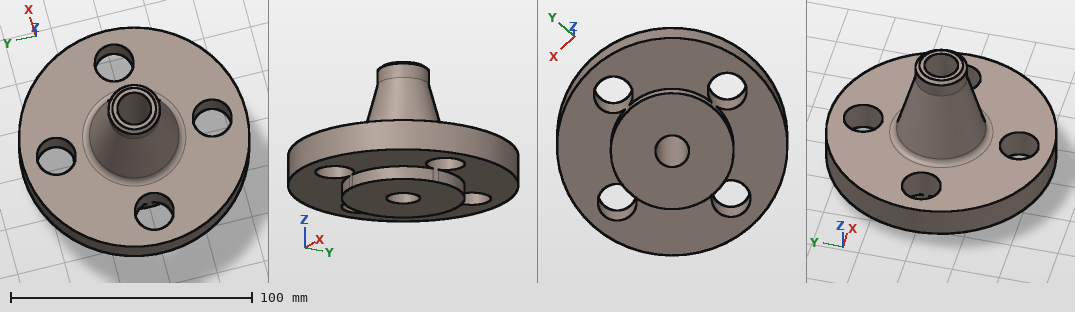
import cadquery as cq
import math

flange_diameter = 95.25
flange_thickness = 12.7

face_diameter = 50.8
face_height = 5.56

overall_height = 56.36
hub_base_diameter = 38.1
hub_fillet_radius = 3.0
neck_diameter = 21.3
neck_length = 7.3
bevel_width = 1.65
bevel_angle = 37.5

bore_diameter = 13.87
bolt_hole_diameter = 16.0
bolt_circle_diameter = 66.5
bolt_count = 4

flange_top = face_height + flange_thickness
neck_bottom = overall_height - neck_length
bevel_height = bevel_width * math.tan(math.radians(bevel_angle))


def make_body():
    """Revolve the raised face, plate, hub and neck as one solid, then round the hub root."""
    flange_radius = flange_diameter / 2
    face_radius = face_diameter / 2
    hub_radius = hub_base_diameter / 2
    neck_radius = neck_diameter / 2
    profile = (
        cq.Workplane("XZ")
        .lineTo(face_radius, 0)
        .lineTo(face_radius, face_height)
        .lineTo(flange_radius, face_height)
        .lineTo(flange_radius, flange_top)
        .lineTo(hub_radius, flange_top)
        .lineTo(neck_radius, neck_bottom)
        .lineTo(neck_radius, overall_height - bevel_height)
        .lineTo(neck_radius - bevel_width, overall_height)
        .lineTo(0, overall_height)
        .close()
    )
    body = profile.revolve(360, (0, 0, 0), (0, 1, 0))
    plate_top = body.faces("+Z").faces(cq.selectors.AreaNthSelector(-1))
    hub_root = plate_top.edges(cq.selectors.RadiusNthSelector(0))
    return hub_root.fillet(hub_fillet_radius)


def make_bore():
    """Straight bore through the full height."""
    return cq.Workplane("XY").circle(bore_diameter / 2).extrude(overall_height)


def make_bolt_holes():
    """Bolt holes through the plate; they also just nick the rim of the raised face."""
    return (
        cq.Workplane("XY")
        .polarArray(bolt_circle_diameter / 2, 0, 360, bolt_count)
        .circle(bolt_hole_diameter / 2)
        .extrude(flange_top)
    )


result = make_body().cut(make_bore()).cut(make_bolt_holes())